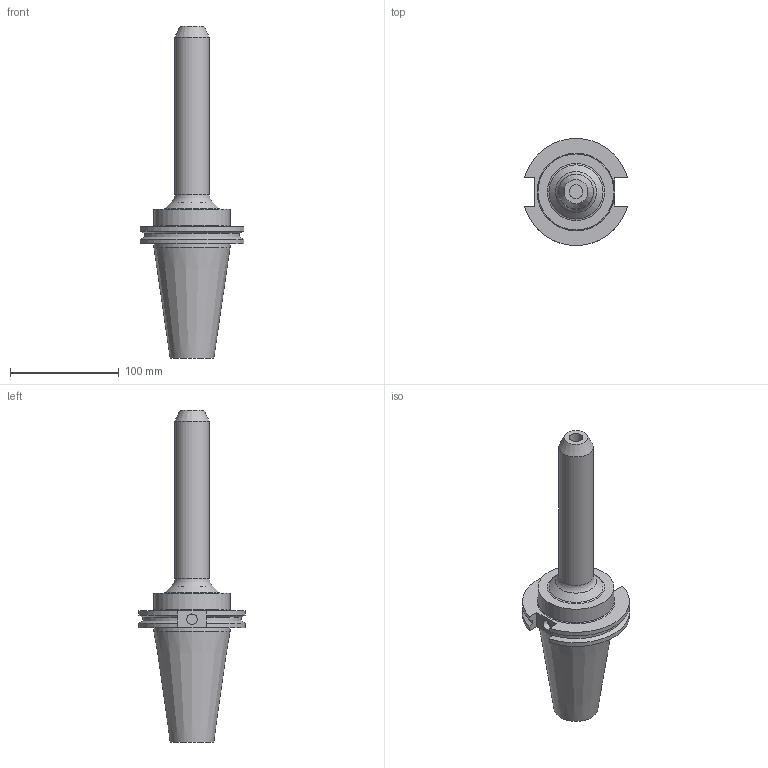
import cadquery as cq
import math

gauge_radius = 34.925
taper_length = 101.6
taper_ratio = 7 / 24
taper_end_radius = gauge_radius - taper_length * taper_ratio / 2

flange_radius = 49.2125
flange_bottom = 3.175
flange_top = 19.05
groove_center = (flange_bottom + flange_top) / 2
groove_floor_radius = 45.55
groove_floor_half_width = 1.75
groove_flank_angle = 30
groove_depth = flange_radius - groove_floor_radius
groove_rim_half_width = groove_floor_half_width + groove_depth * math.tan(math.radians(groove_flank_angle))

slot_width = 25.9
deep_slot_floor = 35.4
shallow_slot_floor = 37.9

pocket_diameter = 9.7
pocket_depth = 5.5

collar_radius = gauge_radius
collar_top = 34.925
collar_foot_fillet = 0.8

nose_radius = 16.0
nose_end = 203.2
cone_base_radius = 25.45
cone_angle = math.radians(45)
cone_top_fillet = 9.525
cone_foot_fillet = 2.0
tip_radius = 10.95
tip_length = 10.5

bore_diameter = 12.7
bore_depth = 50.8


def arc_point(center, radius, angle):
    """Point of a circle at the given angle, in the plane of the half profile."""
    return (center[0] + radius * math.cos(angle), center[1] + radius * math.sin(angle))


def make_body():
    """Revolve the half profile of shank, flange, collar and nose."""
    collar_foot_center = (collar_radius + collar_foot_fillet, flange_top + collar_foot_fillet)
    collar_foot_mid = arc_point(collar_foot_center, collar_foot_fillet, -math.pi * 3 / 4)

    setback = math.tan(cone_angle / 2)
    foot_outer_radius = cone_base_radius + cone_foot_fillet * setback
    foot_center = (foot_outer_radius, collar_top + cone_foot_fillet)
    foot_end_angle = -math.pi / 2 - cone_angle
    foot_end = arc_point(foot_center, cone_foot_fillet, foot_end_angle)
    foot_mid = arc_point(foot_center, cone_foot_fillet, foot_end_angle + cone_angle / 2)

    cone_nose_corner = collar_top + (cone_base_radius - nose_radius) * math.tan(cone_angle)
    neck_top = cone_nose_corner + cone_top_fillet * setback
    neck_center = (nose_radius + cone_top_fillet, neck_top)
    neck_start_angle = math.pi + cone_angle
    neck_start = arc_point(neck_center, cone_top_fillet, neck_start_angle)
    neck_mid = arc_point(neck_center, cone_top_fillet, neck_start_angle - cone_angle / 2)

    return (
        cq.Workplane("XZ")
        .moveTo(0, -taper_length)
        .lineTo(taper_end_radius, -taper_length)
        .lineTo(gauge_radius, 0)
        .lineTo(gauge_radius, flange_bottom)
        .lineTo(flange_radius, flange_bottom)
        .lineTo(flange_radius, groove_center - groove_rim_half_width)
        .lineTo(groove_floor_radius, groove_center - groove_floor_half_width)
        .lineTo(groove_floor_radius, groove_center + groove_floor_half_width)
        .lineTo(flange_radius, groove_center + groove_rim_half_width)
        .lineTo(flange_radius, flange_top)
        .lineTo(collar_radius + collar_foot_fillet, flange_top)
        .threePointArc(collar_foot_mid, (collar_radius, flange_top + collar_foot_fillet))
        .lineTo(collar_radius, collar_top)
        .lineTo(foot_outer_radius, collar_top)
        .threePointArc(foot_mid, foot_end)
        .lineTo(*neck_start)
        .threePointArc(neck_mid, (nose_radius, neck_top))
        .lineTo(nose_radius, nose_end - tip_length)
        .lineTo(tip_radius, nose_end)
        .lineTo(0, nose_end)
        .close()
        .revolve(360, (0, 0, 0), (0, 1, 0))
    )


def make_drive_slot(side, floor):
    """Block that cuts one drive slot through the flange and the collar foot fillet."""
    length = flange_radius
    height = flange_top + collar_foot_fillet - flange_bottom
    block = cq.Workplane("XY").box(length, slot_width, height, centered=(True, True, False))
    return block.translate((side * (floor + length / 2), 0, flange_bottom))


def make_pocket():
    """Cylinder sunk along +X into the floor of the -X slot."""
    return (
        cq.Workplane("YZ", origin=(-shallow_slot_floor, 0, groove_center))
        .circle(pocket_diameter / 2)
        .extrude(pocket_depth)
    )


def make_bore():
    """Blind cylinder sunk into the tip."""
    return (
        cq.Workplane("XY", origin=(0, 0, nose_end - bore_depth))
        .circle(bore_diameter / 2)
        .extrude(bore_depth)
    )


result = (
    make_body()
    .cut(make_drive_slot(-1, shallow_slot_floor))
    .cut(make_drive_slot(1, deep_slot_floor))
    .cut(make_pocket())
    .cut(make_bore())
)